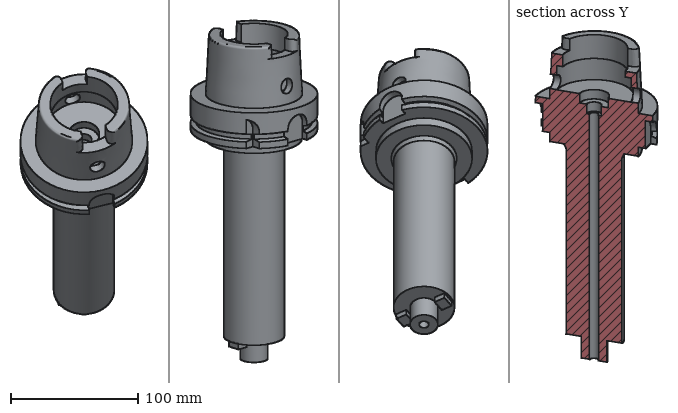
import cadquery as cq
import math

total_height = 268.0
pilot_length = 18.5
body_top = 178.0
collar_bottom = 181.5
flange_bottom = 189.2
groove_bottom = 194.5
groove_top = 201.0
flange_top = 218.7

body_diameter = 48.0
flange_diameter = 100.0
pilot_radius = 11.0
body_radius = body_diameter / 2
relief_radius = 25.7
collar_radius = 37.8
flange_radius = flange_diameter / 2
groove_radius = 45.8
taper_base_radius = 38.0
taper_rate = 0.05
taper_end_radius = taper_base_radius - taper_rate * (total_height - flange_top)
taper_end_fillet = 2.0
groove_wall_height = 1.2

mouth_radius = 26.5
mouth_depth = 20.5
undercut_radius = 31.4
cavity_depth = 40.7
tube_seat_radius = 12.0
tube_seat_depth = 8.0
tube_bore_radius = 6.2
tube_bore_depth = 8.0
coolant_radius = 3.8

slot_width = 20.0
left_slot_depth = 10.0
right_slot_depth = 15.0
slot_corner_radius = 4.0

cross_hole_diameter = 12.0
cross_hole_drop = 34.5

notch_width = 20.6
notch_top = 212.8
notch_floor = 44.0
side_notch_top = 213.5
side_notch_center = 42.0
side_notch_floor = 31.4

key_width = 10.7
key_height = 5.0
key_inner = 13.0
key_outer = 22.2


def turned_body():
    return (
        cq.Workplane("XZ")
        .moveTo(0, 0)
        .lineTo(pilot_radius, 0)
        .lineTo(pilot_radius, pilot_length)
        .lineTo(body_radius, pilot_length)
        .lineTo(body_radius, body_top)
        .lineTo(relief_radius, collar_bottom)
        .lineTo(collar_radius, collar_bottom)
        .lineTo(collar_radius, flange_bottom)
        .lineTo(flange_radius, flange_bottom)
        .lineTo(flange_radius, groove_bottom)
        .lineTo(groove_radius, groove_bottom + groove_wall_height)
        .lineTo(groove_radius, groove_top - groove_wall_height)
        .lineTo(flange_radius, groove_top)
        .lineTo(flange_radius, flange_top)
        .lineTo(taper_base_radius, flange_top)
        .lineTo(taper_end_radius, total_height)
        .lineTo(0, total_height)
        .close()
        .revolve(360, (0, 0, 0), (0, 1, 0))
    )


def cavity():
    mouth_bottom = total_height - mouth_depth
    cavity_floor = total_height - cavity_depth
    seat_floor = cavity_floor - tube_seat_depth
    tube_bore_floor = seat_floor - tube_bore_depth
    return (
        cq.Workplane("XZ")
        .moveTo(0, 0)
        .lineTo(coolant_radius, 0)
        .lineTo(coolant_radius, tube_bore_floor)
        .lineTo(tube_bore_radius, tube_bore_floor)
        .lineTo(tube_bore_radius, seat_floor)
        .lineTo(tube_seat_radius, seat_floor)
        .lineTo(tube_seat_radius, cavity_floor)
        .lineTo(undercut_radius, cavity_floor)
        .lineTo(undercut_radius, mouth_bottom)
        .lineTo(mouth_radius, mouth_bottom)
        .lineTo(mouth_radius, total_height)
        .lineTo(0, total_height)
        .close()
        .revolve(360, (0, 0, 0), (0, 1, 0))
    )


def end_rounding():
    """Ring outside a rounding that is tangent to the taper surface and to its end face."""
    taper_slope = math.atan(taper_rate)
    arc_center_z = total_height - taper_end_fillet
    tangent_length = taper_end_fillet * math.tan((math.pi / 2 - taper_slope) / 2)
    arc_center_radius = taper_end_radius - tangent_length

    def on_arc(angle):
        radius = arc_center_radius + taper_end_fillet * math.cos(angle)
        return radius, arc_center_z + taper_end_fillet * math.sin(angle)

    return (
        cq.Workplane("XZ")
        .moveTo(arc_center_radius, total_height)
        .threePointArc(on_arc(math.pi / 4), on_arc(taper_slope))
        .lineTo(flange_radius, on_arc(taper_slope)[1])
        .lineTo(flange_radius, total_height)
        .close()
        .revolve(360, (0, 0, 0), (0, 1, 0))
    )


def drive_slot(side, depth):
    """Straight slot through one side of the taper wall."""
    return (
        cq.Workplane("XY", origin=(0, 0, total_height - depth))
        .center(side * taper_base_radius / 2, 0)
        .rect(taper_base_radius, slot_width)
        .extrude(depth)
    )


def arch_notch(center_y, top, floor):
    """Round-topped notch cut from the -X side down through the flange bottom."""
    half_width = notch_width / 2
    arch_center = top - half_width
    return (
        cq.Workplane("YZ", origin=(-floor, 0, 0))
        .moveTo(center_y - half_width, flange_bottom)
        .lineTo(center_y - half_width, arch_center)
        .threePointArc((center_y, top), (center_y + half_width, arch_center))
        .lineTo(center_y + half_width, flange_bottom)
        .close()
        .extrude(floor - flange_radius)
    )


def drive_key(side):
    return (
        cq.Workplane("XY", origin=(0, 0, pilot_length))
        .center(0, side * (key_inner + key_outer) / 2)
        .rect(key_width, key_outer - key_inner)
        .extrude(-key_height)
    )


result = turned_body()
result = result.cut(drive_slot(-1, left_slot_depth))
result = result.cut(drive_slot(1, right_slot_depth))
result = result.edges("%HYPERBOLA").fillet(slot_corner_radius)
result = result.cut(end_rounding())
result = result.cut(cavity())

cross_hole = (
    cq.Workplane("YZ", origin=(0, 0, total_height - cross_hole_drop))
    .circle(cross_hole_diameter / 2)
    .extrude(taper_base_radius, both=True)
)
result = result.cut(cross_hole)

gripper_notch = arch_notch(0, notch_top, notch_floor)
result = result.cut(gripper_notch)
result = result.cut(gripper_notch.mirror("YZ"))
result = result.cut(arch_notch(side_notch_center, side_notch_top, side_notch_floor))

for side in (-1, 1):
    result = result.union(drive_key(side))